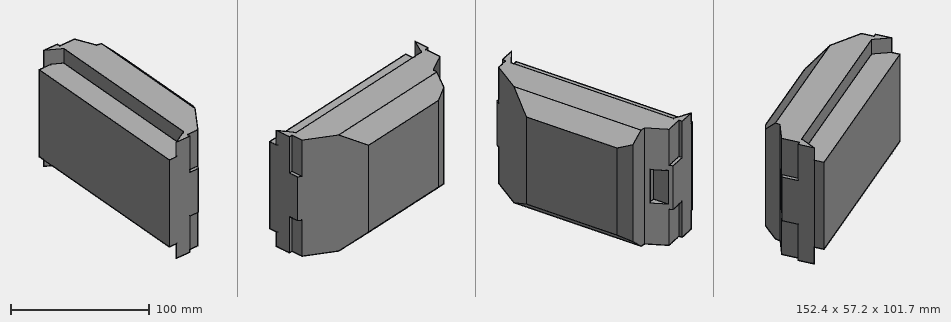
import cadquery as cq

length = 152.4
depth = 57.2
height = 101.7

lip_y = 6.4
ledge_y = 19.2
lip_run = 7.3
left_shoulder_y = 31.7
right_shoulder_y = 27.0
step_foot = (18.7, 40.5)
step_head = (21.2, 52.9)
back_left_x = 32.0
back_right_x = 108.8

block_inset = 2.7
block_height = 76.2

back_chamfer = (height - block_height) / 2
relief_depth = 2.7
end_pad_height = 38.3
slot_height = 29.3
slot_low_y = 33.2
slot_bend_y = 37.0
slot_high_y = 38.9
slot_floor_lean = 0.5


def prism(points, prism_height):
    """Extrude an XY outline symmetrically about Z = 0."""
    return cq.Workplane("XY").polyline(points).close().extrude(prism_height / 2, both=True)


def make_body():
    body = prism(
        [
            (0, lip_y),
            (0, left_shoulder_y),
            step_foot,
            step_head,
            (back_left_x, depth),
            (back_right_x, depth),
            (length, right_shoulder_y),
            (length, lip_y),
            (length - lip_run, ledge_y),
            (lip_run, ledge_y),
        ],
        height,
    )
    half = height / 2
    bevel_section = (
        cq.Workplane("YZ")
        .polyline(
            [
                (0, -half),
                (depth - back_chamfer, -half),
                (depth, back_chamfer - half),
                (depth, half - back_chamfer),
                (depth - back_chamfer, half),
                (0, half),
            ]
        )
        .close()
        .extrude(length)
    )
    return body.intersect(bevel_section)


def make_front_block():
    return cq.Workplane("XY").box(
        length - block_inset, ledge_y, block_height, centered=(False, False, True)
    ).translate((block_inset, 0, 0))


def cut_corner_reliefs(body):
    """Recess both ends above and below the central end pads."""
    relief_height = (height - end_pad_height) / 2
    relief = cq.Workplane("XY").box(
        relief_depth, depth - ledge_y, relief_height, centered=(False, False, True)
    )
    relief_z = (end_pad_height + relief_height) / 2
    for x in (0, length - relief_depth):
        for z in (-relief_z, relief_z):
            body = body.cut(relief.translate((x, ledge_y, z)))
    return body


def make_shoulder_slot():
    """Pocket in the left shoulder: square upper wall and a slightly leaning floor."""
    foot_x, foot_y = step_foot
    slope = (foot_y - left_shoulder_y) / foot_x
    mouth_low_x = (slot_low_y - left_shoulder_y) / slope
    mouth_high_x = (slot_high_y - left_shoulder_y) / slope
    floor_x = mouth_high_x + (slot_high_y - slot_bend_y) * slope
    return prism(
        [
            (mouth_low_x, slot_low_y),
            (mouth_high_x, slot_high_y),
            (floor_x, slot_bend_y),
            (floor_x - slot_floor_lean, slot_low_y),
        ],
        slot_height,
    )


body = cut_corner_reliefs(make_body())
result = body.union(make_front_block()).cut(make_shoulder_slot())